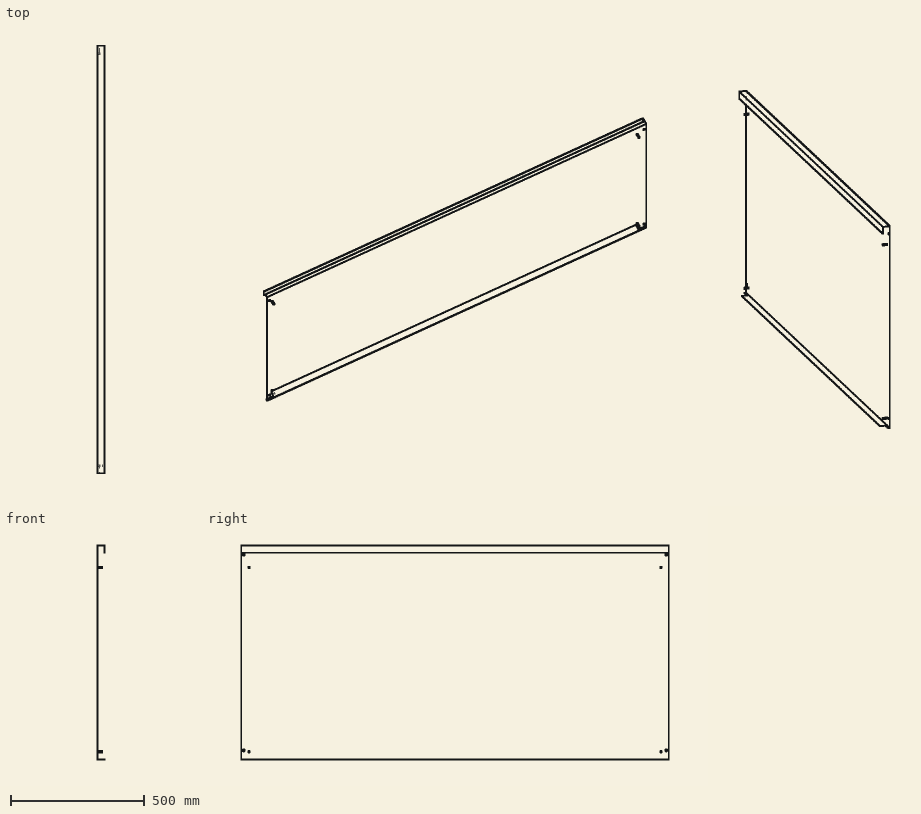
import cadquery as cq

thickness = 1.5
depth = 28.5
length = 1600.0
height = 802.5
half_length = length / 2

lip_height = depth
bottom_stub_depth = 7.0
bottom_notch_length = 30.0
free_corner_radius = 3.5

hole_diameter = 7.0
hole_from_end = 10.0
hole_from_edge = 35.0

stud_diameter = 6.0
stud_reach = 18.0
stud_from_end = 30.0
stud_from_bottom = 30.0
stud_from_top = 83.0


def channel_sheet():
    """Panel with the top edge folded back and then down into a lip, as a constant section along Y."""
    section = [
        (0, 0),
        (0, height),
        (depth, height),
        (depth, height - lip_height),
        (depth - thickness, height - lip_height),
        (depth - thickness, height - thickness),
        (thickness, height - thickness),
        (thickness, 0),
    ]
    return cq.Workplane("XZ").polyline(section).close().extrude(half_length, both=True)


def bottom_strip(strip_depth, strip_length):
    """Flat strip at the bottom, reaching back from the outer face and centred along Y."""
    return cq.Workplane("XY").box(strip_depth, strip_length, thickness, centered=(False, True, False))


def bottom_flange():
    """Bottom fold: full depth between the end notches, a narrow stub along each notch."""
    tongue = bottom_strip(depth, length - 2 * bottom_notch_length)
    tongue = tongue.edges("|Z and >X").fillet(free_corner_radius)
    return tongue.union(bottom_strip(bottom_stub_depth, length))


def at_both_ends(from_end, heights):
    """(Y, Z) points at the same distance from both ends, at each height."""
    y = half_length - from_end
    return [(side * y, z) for side in (-1, 1) for z in heights]


def round_bars(points, diameter, reach):
    """Round bars along X that start on the outer face."""
    return cq.Workplane("YZ").pushPoints(points).circle(diameter / 2).extrude(reach)


hole_points = at_both_ends(hole_from_end, (hole_from_edge, height - hole_from_edge))
stud_points = at_both_ends(stud_from_end, (stud_from_bottom, height - stud_from_top))

result = (
    channel_sheet()
    .union(bottom_flange())
    .union(round_bars(stud_points, stud_diameter, stud_reach))
    .cut(round_bars(hole_points, hole_diameter, thickness))
)